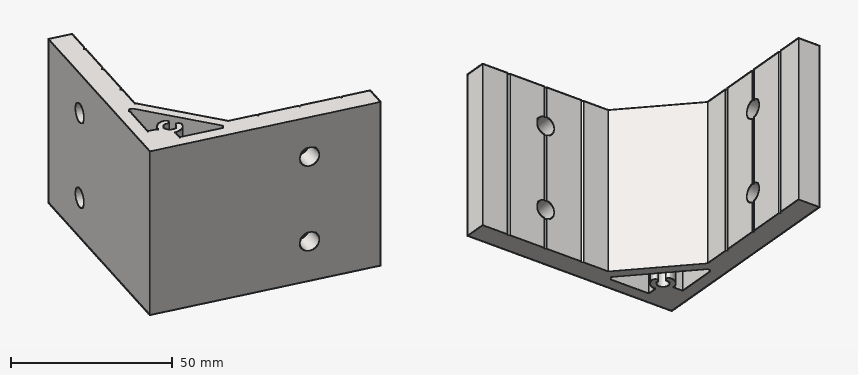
import cadquery as cq
import math

arm_length = 78.0
arm_thickness = 8.0
height = 58.0

web_reach = 30.0
web_thickness = 3.5
cavity_wall = 4.5
cavity_fillet = 1.0

block_size = 12.0
channel_outer_radius = 4.0
channel_inner_radius = 2.0

hole_diameter = 6.55
hole_from_end = 24.0
hole_spacing = 30.0
groove_spacing = 14.05
groove_width = 1.0
groove_depth = 0.5


def make_angle():
    """Both arms joined by the diagonal web, without openings."""
    outline = [
        (0, 0),
        (0, arm_length),
        (-arm_thickness, arm_length),
        (-arm_thickness, web_reach),
        (-web_reach, arm_thickness),
        (-arm_length, arm_thickness),
        (-arm_length, 0),
    ]
    return cq.Workplane("XY").polyline(outline).close().extrude(height)


def make_cavity():
    """Triangular through-opening with rounded sharp ends, less the corner block."""
    web_face_sum = web_reach + arm_thickness - web_thickness * math.sqrt(2)
    tip = web_face_sum - cavity_wall
    triangle = [(-cavity_wall, cavity_wall), (-cavity_wall, tip), (-tip, cavity_wall)]
    cavity = cq.Workplane("XY").polyline(triangle).close().extrude(height)
    cavity = cavity.edges("|Z and (>Y or <X)").fillet(cavity_fillet)
    block = cq.Workplane("XY").rect(-block_size, block_size, centered=False).extrude(height)
    return cavity.cut(block)


def make_channel_wall():
    """Three-quarter ring with rounded lips, open toward the web."""
    middle_radius = (channel_outer_radius + channel_inner_radius) / 2
    lip_radius = (channel_outer_radius - channel_inner_radius) / 2
    center = cq.Workplane("XY").center(-block_size, block_size)
    ring = center.circle(channel_outer_radius).circle(channel_inner_radius).extrude(height)
    opening = center.rect(-channel_outer_radius, channel_outer_radius, centered=False).extrude(height)
    lips = center.pushPoints([(0, middle_radius), (-middle_radius, 0)]).circle(lip_radius).extrude(height)
    return ring.cut(opening).union(lips)


def make_arm_cuts():
    """Two holes and three V-grooves for the arm along -X."""
    hole_x = hole_from_end - arm_length
    cuts = cq.Workplane("XY")
    for side in (-1, 1):
        hole_z = height / 2 + side * hole_spacing / 2
        hole = cq.Workplane("XZ", origin=(hole_x, 0, hole_z)).circle(hole_diameter / 2)
        cuts = cuts.add(hole.extrude(-arm_thickness))
    for step in (-1, 0, 1):
        groove_x = hole_x + step * groove_spacing
        vee = [
            (groove_x - groove_width / 2, arm_thickness),
            (groove_x + groove_width / 2, arm_thickness),
            (groove_x, arm_thickness - groove_depth),
        ]
        cuts = cuts.add(cq.Workplane("XY").polyline(vee).close().extrude(height))
    return cuts.combine()


bore = cq.Workplane("XY").center(-block_size, block_size).circle(channel_inner_radius).extrude(height)
arm_cuts = make_arm_cuts()
mirrored_arm_cuts = arm_cuts.rotate((0, 0, 0), (-1, 1, 0), 180).translate((0, 0, height))

result = make_angle().cut(make_cavity()).union(make_channel_wall()).cut(bore)
result = result.cut(arm_cuts).cut(mirrored_arm_cuts)